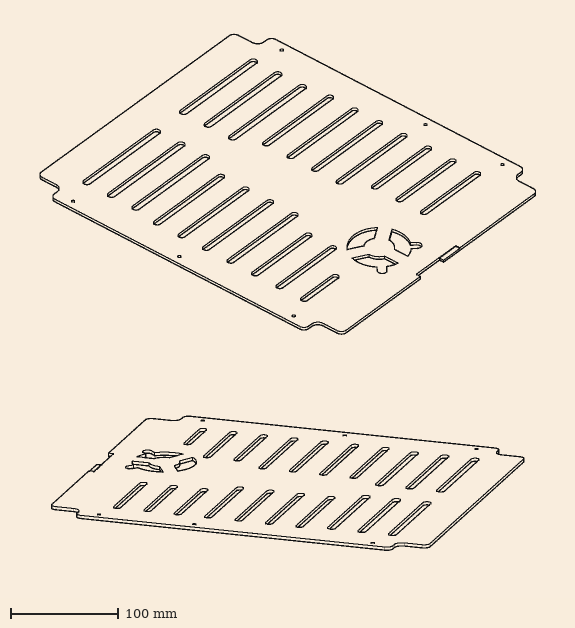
import cadquery as cq

length = 373.0
width = 319.0
thickness = 3.2

corner_relief_x = 30.75
corner_relief_y = 17.75
outer_corner_radius = 6.0
inner_corner_radius = 7.5

slot_pitch = 30.0
first_slot_x = -144.0
slot_width = 7.0
slot_far_end = 128.25
long_slot = (16.0, 124.0, 7.75)
medium_slot = (29.5, slot_far_end, slot_width)
short_slot = (45.0, slot_far_end, slot_width)
stub_slot = (76.75, slot_far_end, slot_width)
upper_slots = 3 * [long_slot] + 4 * [medium_slot] + 3 * [short_slot]
lower_slots = 3 * [long_slot] + 4 * [medium_slot] + 2 * [short_slot] + [stub_slot]

hole_diameter = 3.0
hole_row_y = 150.8
end_hole_x = 135.0
upper_hole_xs = (-end_hole_x, 41.0, end_hole_x)
lower_hole_xs = (-end_hole_x, -5.0, end_hole_x)

latch_depth_x = 5.0
latch_half_length = 28.5
latch_step_start_y = 5.0
latch_step_depth_z = 0.8

fan_center_x = 128.4
fan_center_y = -19.6
fan_radius = 30.0
hub_radius = 14.5
spoke_width = 14.0
spoke_angles = (0, 120, 240)
finger_width = 9.0
finger_end_distance = 35.5
finger_angles = (45, -45)


def make_disc(radius, x=0, y=0):
    return cq.Workplane("XY").center(x, y).circle(radius).extrude(thickness)


def make_block(size_x, size_y):
    return cq.Workplane("XY").rect(size_x, size_y).extrude(thickness)


def make_plate():
    """Cross-shaped plate with rounded outer and inner corners."""
    cross_x = length - 2 * corner_relief_x
    cross_y = width - 2 * corner_relief_y
    lengthwise = make_block(length, cross_y).edges("|Z").fillet(outer_corner_radius)
    crosswise = make_block(cross_x, width).edges("|Z").fillet(outer_corner_radius)
    plate = lengthwise.union(crosswise)
    for side_x in (-1, 1):
        for side_y in (-1, 1):
            corner = (side_x * cross_x / 2, side_y * cross_y / 2, thickness / 2)
            inner_edge = cq.selectors.NearestToPointSelector(corner)
            plate = plate.edges(inner_edge).fillet(inner_corner_radius)
    return plate


def cut_slot_row(plate, slots, side):
    """Cut one row of slots; side is +1 above the X axis and -1 below it."""
    for column, (near_end, far_end, breadth) in enumerate(slots):
        x = first_slot_x + column * slot_pitch
        y = side * (near_end + far_end) / 2
        outline = cq.Workplane("XY").center(x, y).slot2D(far_end - near_end, breadth, 90)
        plate = plate.cut(outline.extrude(thickness))
    return plate


def cut_mounting_holes(plate):
    for hole_xs, y in ((upper_hole_xs, hole_row_y), (lower_hole_xs, -hole_row_y)):
        for x in hole_xs:
            plate = plate.cut(make_disc(hole_diameter / 2, x, y))
    return plate


def cut_latch_recess(plate):
    inner_x = length / 2 - latch_depth_x
    notch_length = latch_step_start_y + latch_half_length
    step_length = latch_half_length - latch_step_start_y
    notch = cq.Workplane("XY").box(latch_depth_x, notch_length, thickness, centered=False)
    notch = notch.translate((inner_x, -latch_half_length, 0))
    step = cq.Workplane("XY").box(latch_depth_x, step_length, latch_step_depth_z, centered=False)
    step = step.translate((inner_x, latch_step_start_y, thickness - latch_step_depth_z))
    return plate.cut(notch).cut(step)


def turn(shape, angle):
    """Turn a shape about the Z axis."""
    return shape.rotate((0, 0, 0), (0, 0, 1), angle)


def make_radial_bar(bar_length, bar_width):
    """Bar running from the Z axis along +X."""
    return make_block(bar_length, bar_width).translate((bar_length / 2, 0, 0))


def make_fan_opening():
    """Through opening of the fan, centred on the Z axis."""
    bar = make_radial_bar(finger_end_distance, finger_width)
    finger = bar.union(make_disc(finger_width / 2, finger_end_distance))
    spoke = make_radial_bar(2 * fan_radius, spoke_width)
    opening = make_disc(fan_radius)
    for angle in finger_angles:
        opening = opening.union(turn(finger, angle))
    opening = opening.cut(make_disc(hub_radius))
    for angle in spoke_angles:
        opening = opening.cut(turn(spoke, angle))
    return opening


result = make_plate()
result = cut_slot_row(result, upper_slots, 1)
result = cut_slot_row(result, lower_slots, -1)
result = cut_mounting_holes(result)
result = cut_latch_recess(result)
result = result.cut(make_fan_opening().translate((fan_center_x, fan_center_y, 0)))